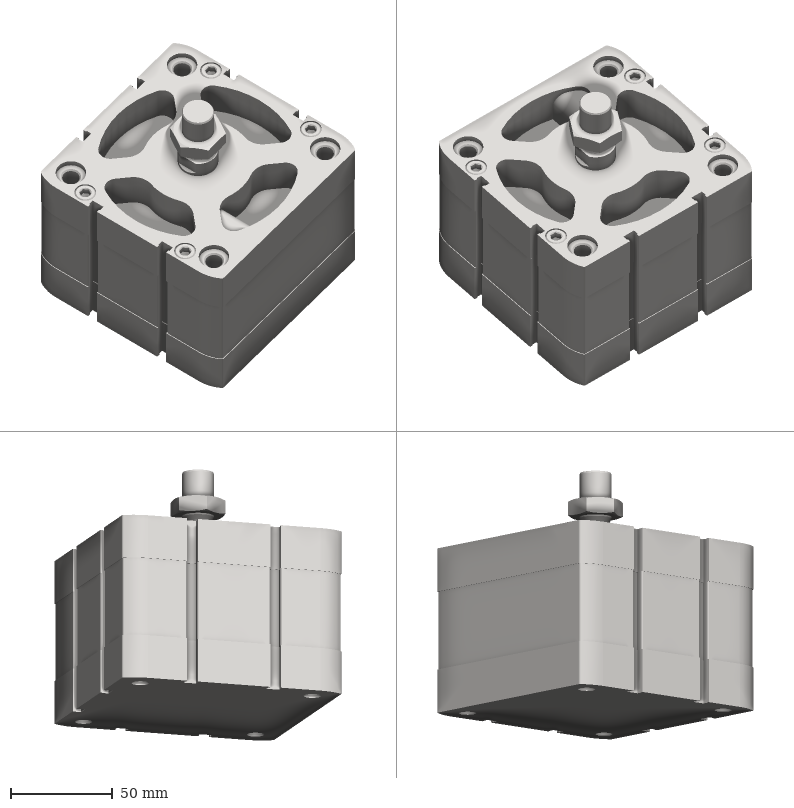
import cadquery as cq
import math


width = 113.5
half_width = width / 2
total_height = 119.0
housing_height = 82.0
cap_height = 21.5
barrel_inset = 0.4

corner_start = 44.6
corner_radius = 22.0
corner_edge_fillet = 1.2

slot_offset = 21.5
slot_mouth = 5.6
slot_width = 6.7
slot_depth = 4.5
slot_lip = 1.7
barrel_lip_chamfer = 0.5

mount_offset = 44.5
mount_hole_diameter = 8.6
mount_bore_diameter = 15.0
mount_bore_depth = 3.0
mount_chamfer_diameter = 10.0

screw_x = 31.0
screw_y = 50.3
screw_head_diameter = 10.7
screw_face_diameter = 9.0
socket_mouth_diameter = 6.2
socket_flats = 5.0
socket_depth = 3.6
socket_tip_depth = 1.0

pocket_count = 4
pocket_outer_radius = 49.6
pocket_inner_radius = 27.6
pocket_depth = 18.9
spoke_width = 13.1
pocket_inner_fillet = 10.5
pocket_outer_fillet = 6.0

boss_radius = 8.0
boss_y = -20.1
boss_axis_z = housing_height - cap_height / 2

rod_diameter = 20.0
rod_flats = 17.0
rod_collar_height = 9.0
flat_base_height = 2.3
flat_base_slope = 30
flat_cut_margin = 0.6
neck_diameter = 13.5
neck_flare_diameter = 15.0
neck_flare_height = 1.0
neck_height = 1.9
thread_diameter = 16.0
thread_cone_height = 2.5
thread_tip_diameter = 15.0
thread_tip_height = 0.8

nut_flats = 24.0
nut_height = 8.0
nut_base_z = 97.1
nut_face_diameter = 24.0
nut_chamfer_height = 0.7


def cone(bottom_diameter, top_diameter, height, base_z):
    """Upright cone frustum on the Z axis."""
    solid = cq.Solid.makeCone(bottom_diameter / 2, top_diameter / 2, height)
    return cq.Workplane(solid).translate((0, 0, base_z))


def cylinder(diameter, height, base_z):
    """Upright cylinder on the Z axis."""
    return cq.Workplane().workplane(offset=base_z).circle(diameter / 2).extrude(height)


def hexagon(flats, height, base_z):
    """Hexagonal prism with two flats facing along X."""
    corner_diameter = flats / math.cos(math.pi / 6)
    prism = cq.Workplane().polygon(6, corner_diameter).extrude(height)
    return prism.rotate((0, 0, 0), (0, 0, 1), 30).translate((0, 0, base_z))


def at_four(tool, x, y):
    """Copies of a tool at the four symmetric places (+-x, +-y)."""
    copies = cq.Workplane()
    for side_x in (-x, x):
        for side_y in (-y, y):
            copies = copies.add(tool.translate((side_x, side_y, 0)))
    return copies.combine()


def housing_block(inset, height, base_z):
    """Square block whose corners are shallow arcs, tangent to the front and back."""
    side = half_width - inset
    radius = corner_radius - inset
    reach = side - corner_start
    edge_y = side - radius + math.sqrt(radius**2 - reach**2)
    block = (
        cq.Workplane()
        .workplane(offset=base_z)
        .moveTo(-corner_start, side)
        .lineTo(corner_start, side)
        .radiusArc((side, edge_y), radius)
        .lineTo(side, -edge_y)
        .radiusArc((corner_start, -side), radius)
        .lineTo(-corner_start, -side)
        .radiusArc((-side, -edge_y), radius)
        .lineTo(-side, edge_y)
        .radiusArc((-corner_start, side), radius)
        .close()
        .extrude(height)
    )
    sharp_edges = block.edges("|Z").edges("<X or >X")
    return sharp_edges.fillet(corner_edge_fillet)


def sensor_slot():
    """Undercut slot in the +Y side, centred on X = 0, with its flared barrel mouth."""
    floor_y = half_width - slot_depth
    barrel_floor_y = floor_y - barrel_inset
    lip_y = half_width - slot_lip
    barrel_y = half_width - barrel_inset
    barrel_height = housing_height - 2 * cap_height
    mouth = cq.Workplane().rect(slot_mouth, slot_depth * 2).extrude(housing_height)
    mouth = mouth.translate((0, half_width, 0))
    undercut = (
        cq.Workplane()
        .center(0, (floor_y + lip_y) / 2)
        .rect(slot_width, lip_y - floor_y)
        .extrude(housing_height)
    )
    flare_half = slot_mouth / 2 + barrel_lip_chamfer
    flare = (
        cq.Workplane()
        .workplane(offset=cap_height)
        .moveTo(-flare_half, barrel_y)
        .lineTo(flare_half, barrel_y)
        .lineTo(0, barrel_y - flare_half)
        .close()
        .extrude(barrel_height)
    )
    barrel_groove = (
        cq.Workplane()
        .workplane(offset=cap_height)
        .center(0, (barrel_floor_y + lip_y) / 2)
        .rect(slot_width, lip_y - barrel_floor_y)
        .extrude(barrel_height)
    )
    return mouth.union(undercut).union(flare).union(barrel_groove)


def sensor_slots():
    slots = cq.Workplane()
    for turn in (0, 90, 180):
        for offset in (-slot_offset, slot_offset):
            slot = sensor_slot().translate((offset, 0, 0))
            slots = slots.add(slot.rotate((0, 0, 0), (0, 0, 1), turn))
    return slots.combine()


def mounting_holes():
    """Counterbored through holes with a chamfer below the counterbore."""
    bore_floor = housing_height - mount_bore_depth
    chamfer = (mount_chamfer_diameter - mount_hole_diameter) / 2
    hole = cylinder(mount_hole_diameter, housing_height, 0)
    hole = hole.union(cone(mount_hole_diameter, mount_chamfer_diameter, chamfer, bore_floor - chamfer))
    hole = hole.union(cylinder(mount_bore_diameter, mount_bore_depth, bore_floor))
    return at_four(hole, mount_offset, mount_offset)


def screw_recesses():
    """Groove around each chamfered, flush screw head, and its hex socket."""
    chamfer = (screw_head_diameter - screw_face_diameter) / 2
    groove = cylinder(screw_head_diameter, chamfer, housing_height - chamfer)
    groove = groove.cut(cone(screw_head_diameter, screw_face_diameter, chamfer, housing_height - chamfer))
    socket_floor = housing_height - socket_depth
    socket = hexagon(socket_flats, socket_depth, socket_floor)
    lead_in = (socket_mouth_diameter - socket_flats) / 2
    socket = socket.union(cone(socket_flats, socket_mouth_diameter, lead_in, housing_height - lead_in))
    tip = cone(0, socket_flats, socket_tip_depth, socket_floor - socket_tip_depth)
    return at_four(groove.union(socket).union(tip), screw_x, screw_y)


def pocket():
    """Pocket on the +X side, between two diagonal spokes and two concentric walls."""
    base_z = housing_height - pocket_depth
    ring = (
        cq.Workplane()
        .workplane(offset=base_z)
        .circle(pocket_outer_radius)
        .circle(pocket_inner_radius)
        .extrude(pocket_depth)
    )
    tip_x = spoke_width / math.sqrt(2)
    wedge = (
        cq.Workplane()
        .workplane(offset=base_z)
        .moveTo(tip_x, 0)
        .lineTo(tip_x + width, width)
        .lineTo(tip_x + width, -width)
        .close()
        .extrude(pocket_depth)
    )
    shape = ring.intersect(wedge)
    shape = shape.edges("|Z").edges("<X").fillet(pocket_inner_fillet)
    outer_edges = cq.selectors.BoxSelector(
        (pocket_inner_radius + pocket_inner_fillet, -width, 0),
        (pocket_outer_radius, width, total_height),
    )
    return shape.edges("|Z").edges(outer_edges).edges("<Y or >Y").fillet(pocket_outer_fillet)


def port_boss():
    """Half-round port boss along X that fills the -Y end of the +X pocket."""
    base_z = housing_height - pocket_depth
    top_z = boss_axis_z + boss_radius
    return (
        cq.Workplane("YZ")
        .moveTo(boss_y + boss_radius, base_z)
        .lineTo(boss_y + boss_radius, boss_axis_z)
        .radiusArc((boss_y, top_z), -boss_radius)
        .lineTo(-half_width, top_z)
        .lineTo(-half_width, base_z)
        .close()
        .extrude(half_width)
    )


def make_housing():
    body = housing_block(0, cap_height, 0)
    body = body.union(housing_block(barrel_inset, housing_height - 2 * cap_height, cap_height))
    body = body.union(housing_block(0, cap_height, housing_height - cap_height))
    body = body.cut(sensor_slots())
    body = body.cut(mounting_holes())
    body = body.cut(screw_recesses())
    body = body.cut(pocket().cut(port_boss()))
    for index in range(1, pocket_count):
        body = body.cut(pocket().rotate((0, 0, 0), (0, 0, 1), index * 360 / pocket_count))
    return body


def make_rod():
    collar_top = housing_height + rod_collar_height
    neck_bottom = collar_top + neck_flare_height
    neck_top = neck_bottom + neck_height
    thread_bottom = neck_top + thread_cone_height
    rod = (
        cq.Workplane("XZ")
        .moveTo(0, housing_height)
        .lineTo(rod_diameter / 2, housing_height)
        .lineTo(rod_diameter / 2, collar_top)
        .lineTo(neck_flare_diameter / 2, collar_top)
        .lineTo(neck_diameter / 2, neck_bottom)
        .lineTo(neck_diameter / 2, neck_top)
        .lineTo(thread_diameter / 2, thread_bottom)
        .lineTo(thread_diameter / 2, total_height - thread_tip_height)
        .lineTo(thread_tip_diameter / 2, total_height)
        .lineTo(0, total_height)
        .close()
        .revolve(360, (0, 0, 0), (0, 1, 0))
    )
    flat_y = rod_flats / 2
    flat_z = housing_height + flat_base_height
    beyond_y = rod_diameter / 2 + flat_cut_margin
    slope_drop = (beyond_y - flat_y) * math.tan(math.radians(flat_base_slope))
    flat_cut = (
        cq.Workplane("YZ")
        .moveTo(flat_y, flat_z)
        .lineTo(flat_y, collar_top)
        .lineTo(beyond_y, collar_top)
        .lineTo(beyond_y, flat_z - slope_drop)
        .close()
        .extrude(rod_diameter / 2, both=True)
    )
    return rod.cut(flat_cut).cut(flat_cut.mirror("XZ"))


def make_nut():
    corner_diameter = nut_flats / math.cos(math.pi / 6)
    round_limit = cylinder(corner_diameter, nut_height, nut_base_z)
    chamfer_width = (corner_diameter - nut_face_diameter) / 2
    round_limit = round_limit.edges().chamfer(nut_chamfer_height, chamfer_width)
    nut = hexagon(nut_flats, nut_height, nut_base_z).intersect(round_limit)
    return nut.cut(cylinder(thread_diameter, nut_height, nut_base_z))


housing = make_housing()
rod = make_rod()
nut = make_nut()

result = cq.Compound.makeCompound([housing.val(), rod.val(), nut.val()])